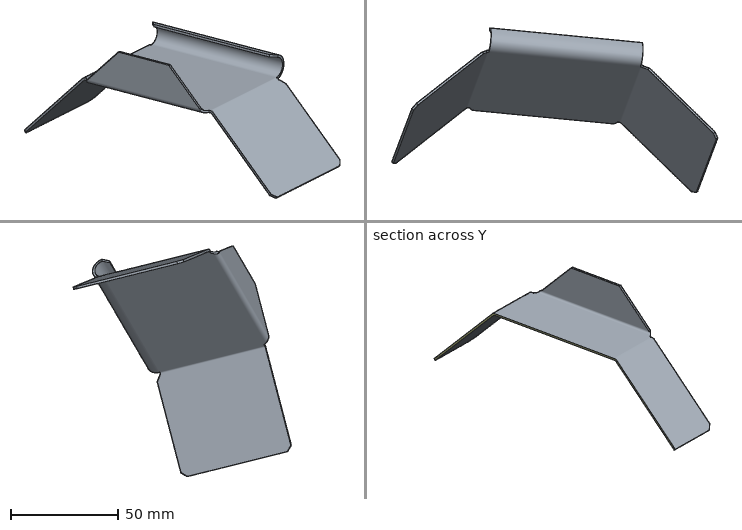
import cadquery as cq
import math

thickness = 1.2
bend_inner = 1.0
bend_outer = bend_inner + thickness

depth = 62.0
half_floor = 36.0

hook_inner = 5.0
hook_outer = hook_inner + thickness
hook_angle = math.radians(173)
hook_lip = 2.2
lip_corner = 2.9
hook_y = depth - hook_outer

half_span = 72.6
wing_angle = math.radians(45)
wing_front = 3.5
wing_corner = 2.5
root_corner = 3.2
wing_back = hook_y + wing_corner

tab_height = 20.0
tab_half_base = 32.4
tab_half_top = tab_half_base - (tab_height - bend_outer)
relief_half = 35.1


def prism_along_x(profile):
    """Extrude a YZ profile across the full floor width."""
    return profile.extrude(half_floor, both=True)


def make_floor():
    length = hook_y - bend_outer
    return cq.Workplane("XY").box(
        2 * half_floor, length, thickness, centered=(True, False, False)
    ).translate((0, bend_outer, 0))


def make_hook():
    """Curl the floor's rear edge up and forward, ending in a straight lip."""
    center_z = hook_outer

    def on_arc(radius, angle):
        return (hook_y + radius * math.sin(angle), center_z - radius * math.cos(angle))

    def lip_end(radius):
        y, z = on_arc(radius, hook_angle)
        return (y + hook_lip * math.cos(hook_angle), z + hook_lip * math.sin(hook_angle))

    hook = prism_along_x(
        cq.Workplane("YZ")
        .moveTo(*on_arc(hook_outer, 0))
        .threePointArc(on_arc(hook_outer, hook_angle / 2), on_arc(hook_outer, hook_angle))
        .lineTo(*lip_end(hook_outer))
        .lineTo(*lip_end(hook_inner))
        .lineTo(*on_arc(hook_inner, hook_angle))
        .threePointArc(on_arc(hook_inner, hook_angle / 2), on_arc(hook_inner, 0))
        .close()
    )
    tip_y = lip_end(hook_inner)[0]
    for side in (-1, 1):
        corner = (
            cq.Workplane("XY", origin=(0, 0, center_z))
            .moveTo(side * half_floor, tip_y)
            .lineTo(side * (half_floor - lip_corner), tip_y)
            .lineTo(side * half_floor, tip_y + lip_corner)
            .close()
            .extrude(2 * hook_outer)
        )
        hook = hook.cut(corner)
    return hook


def make_tab():
    """Upright front tab with its bend, narrowed towards the top."""
    diagonal = math.sqrt(0.5)
    bent_sheet = prism_along_x(
        cq.Workplane("YZ")
        .moveTo(wing_front, 0)
        .lineTo(bend_outer, 0)
        .threePointArc((bend_outer * (1 - diagonal), bend_outer * (1 - diagonal)), (0, bend_outer))
        .lineTo(0, tab_height)
        .lineTo(thickness, tab_height)
        .lineTo(thickness, bend_outer)
        .threePointArc(
            (bend_outer - bend_inner * diagonal, bend_outer - bend_inner * diagonal),
            (bend_outer, thickness),
        )
        .lineTo(wing_front, thickness)
        .close()
    )
    front_outline = (
        cq.Workplane("XZ")
        .polyline([
            (-half_floor, 0), (half_floor, 0), (half_floor, thickness),
            (tab_half_base, bend_outer), (tab_half_top, tab_height),
            (-tab_half_top, tab_height), (-tab_half_base, bend_outer),
            (-half_floor, thickness),
        ])
        .close()
        .extrude(-wing_front)
    )
    return bent_sheet.intersect(front_outline)


def make_front_relief(side):
    """Waste beside the tab bend, in front of the wing."""
    return (
        cq.Workplane("XY")
        .polyline([
            (side * half_floor, 0), (side * tab_half_base, 0),
            (side * relief_half, wing_front), (side * half_floor, wing_front),
        ])
        .close()
        .extrude(tab_height)
    )


def make_wing():
    """Right wing: a bend, then a flat flap with three cut corners."""
    bend_z = thickness - bend_outer

    def on_bend(radius, angle):
        return (half_floor + radius * math.sin(angle), bend_z + radius * math.cos(angle))

    bend_end = on_bend(bend_outer, wing_angle)
    flap_length = (half_span - bend_end[0]) / math.cos(wing_angle)
    bend = (
        cq.Workplane("XZ", origin=(0, wing_front, 0))
        .moveTo(*on_bend(bend_outer, 0))
        .threePointArc(on_bend(bend_outer, wing_angle / 2), bend_end)
        .lineTo(*on_bend(bend_inner, wing_angle))
        .threePointArc(on_bend(bend_inner, wing_angle / 2), on_bend(bend_inner, 0))
        .close()
        .extrude(wing_front - hook_y)
    )
    flap_plane = cq.Plane(
        origin=(bend_end[0], 0, bend_end[1]),
        xDir=(math.cos(wing_angle), 0, -math.sin(wing_angle)),
        normal=(math.sin(wing_angle), 0, math.cos(wing_angle)),
    )
    flap = (
        cq.Workplane(flap_plane)
        .polyline([
            (0, wing_front),
            (flap_length - wing_corner, wing_front),
            (flap_length, wing_front + wing_corner),
            (flap_length, wing_back - wing_corner),
            (flap_length - wing_corner, wing_back),
            (root_corner, wing_back),
            (0, hook_y),
        ])
        .close()
        .extrude(-thickness)
    )
    return bend.union(flap)


body = make_floor().union(make_hook()).union(make_tab())
for side in (-1, 1):
    body = body.cut(make_front_relief(side))

right_wing = make_wing()
result = body.union(right_wing).union(right_wing.mirror("YZ"))